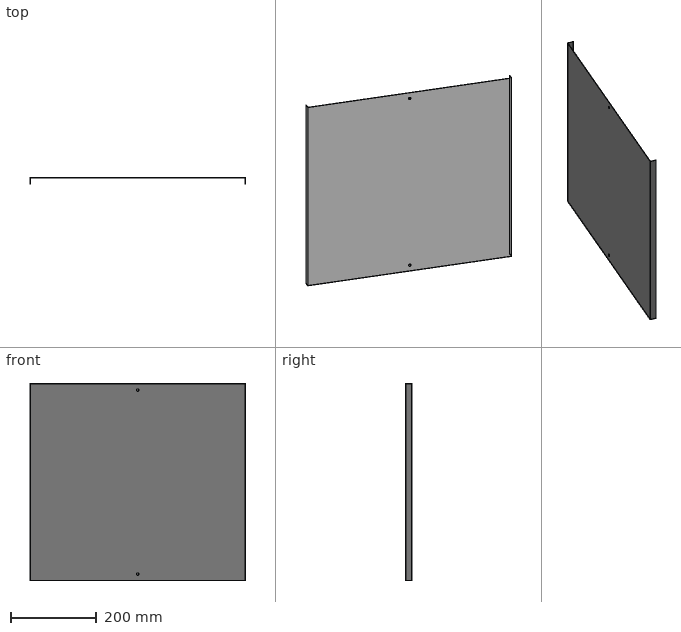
import cadquery as cq

width = 503.2
depth = 14.6
height = 460.0
sheet_thickness = 0.6

hole_diameter = 5.0
hole_edge_distance = 15.0
hole_spacing = height - 2 * hole_edge_distance


def make_folded_panel():
    """Flat panel with a sharp-cornered flange folded toward -Y along each vertical edge."""
    outer_block = cq.Workplane("XY").box(width, depth, height)
    inner_space = (
        cq.Workplane("XY")
        .box(width - 2 * sheet_thickness, depth, height)
        .translate((0, -sheet_thickness, 0))
    )
    return outer_block.cut(inner_space)


def make_hole_cutters():
    """Cylinders along Y that pierce the flat panel."""
    return (
        cq.Workplane("XZ")
        .rarray(1, hole_spacing, 1, 2)
        .circle(hole_diameter / 2)
        .extrude(depth, both=True)
    )


result = make_folded_panel().cut(make_hole_cutters())